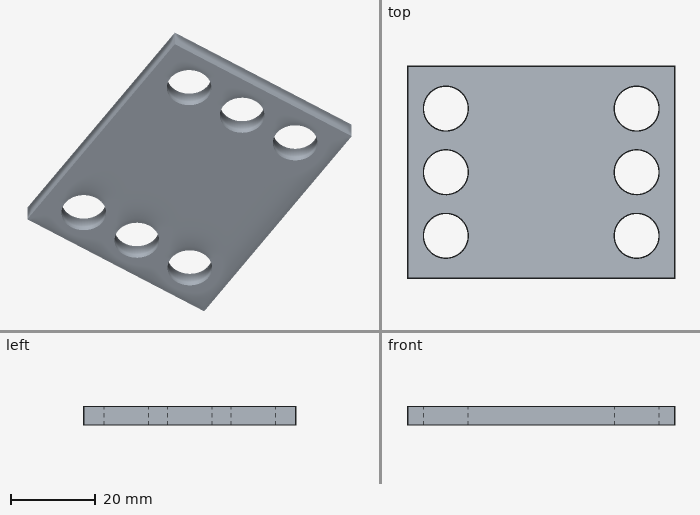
import cadquery as cq

length = 63.0
width = 50.0
thickness = 4.4

hole_diameter = 10.5
columns = 2
rows = 3
column_spacing = 45.0
row_spacing = 15.0

plate = cq.Workplane("XY").box(length, width, thickness)

result = (
    plate.faces(">Z")
    .workplane()
    .rarray(column_spacing, row_spacing, columns, rows)
    .hole(hole_diameter)
)